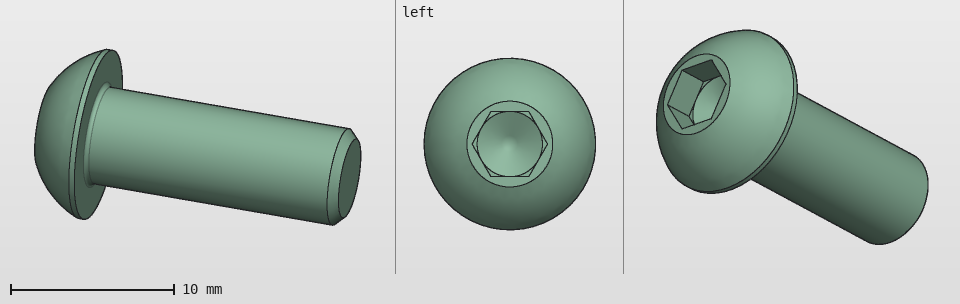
import cadquery as cq
import math

total_length = 19.3
head_diameter = 10.5
head_height = 3.3
rim_width = 0.35
face_diameter = 5.25
dome_radius = 5.79
shank_diameter = 6.0
neck_fillet = 0.27
tip_chamfer = 0.56
socket_across_flats = 4.0
socket_depth = 2.08
drill_point_angle = 120.0

head_radius = head_diameter / 2
face_radius = face_diameter / 2
shank_radius = shank_diameter / 2
rim_start = head_height - rim_width


def dome_midpoint():
    """Point halfway along the dome arc, in the (axial, radial) plane."""
    chord = math.hypot(rim_start, head_radius - face_radius)
    bulge = dome_radius - math.sqrt(dome_radius**2 - (chord / 2) ** 2)
    outward_x = -(head_radius - face_radius) / chord
    outward_r = rim_start / chord
    return (
        rim_start / 2 + bulge * outward_x,
        (face_radius + head_radius) / 2 + bulge * outward_r,
    )


def make_body():
    """Revolve the half profile of head, neck fillet, shank and tip."""
    fillet_offset = neck_fillet * (1 - math.sqrt(0.5))
    profile = (
        cq.Workplane("XY")
        .lineTo(0, face_radius)
        .threePointArc(dome_midpoint(), (rim_start, head_radius))
        .lineTo(head_height, head_radius)
        .lineTo(head_height, shank_radius + neck_fillet)
        .threePointArc(
            (head_height + fillet_offset, shank_radius + fillet_offset),
            (head_height + neck_fillet, shank_radius),
        )
        .lineTo(total_length - tip_chamfer, shank_radius)
        .lineTo(total_length, shank_radius - tip_chamfer)
        .lineTo(total_length, 0)
        .close()
    )
    return profile.revolve(360, (0, 0, 0), (1, 0, 0))


def make_socket():
    """Hexagonal recess, corners along Y, ending in a conical drill point."""
    across_corners = socket_across_flats / math.cos(math.radians(30))
    hexagon = cq.Workplane("YZ").polygon(6, across_corners).extrude(socket_depth)
    cone_radius = socket_across_flats / 2
    cone_depth = cone_radius / math.tan(math.radians(drill_point_angle / 2))
    cone = cq.Workplane(
        cq.Solid.makeCone(
            cone_radius, 0, cone_depth, cq.Vector(socket_depth, 0, 0), cq.Vector(1, 0, 0)
        )
    )
    return hexagon.union(cone)


result = make_body().cut(make_socket())